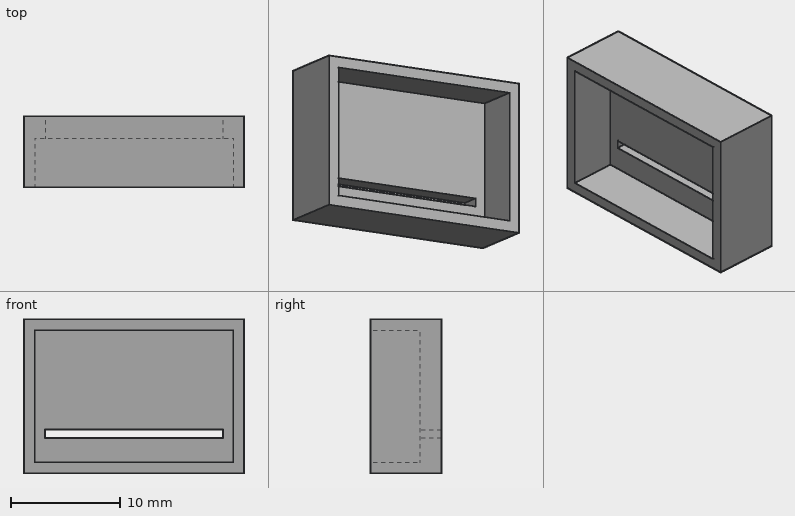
import cadquery as cq

width = 20.15
depth = 6.5
height = 14.1

rim = 1.0
back_thickness = 2.0
pocket_depth = depth - back_thickness

slot_width = 16.25
slot_height = 0.77
slot_bottom = 3.25


def box_from_front(size_x, size_y, size_z, bottom):
    """Box centred on X, starting at the -Y face, with its underside at the given Z."""
    return (
        cq.Workplane("XY")
        .box(size_x, size_y, size_z, centered=(True, False, False))
        .translate((0, 0, bottom))
    )


block = box_from_front(width, depth, height, 0)
pocket = box_from_front(width - 2 * rim, pocket_depth, height - 2 * rim, rim)
slot = box_from_front(slot_width, depth, slot_height, slot_bottom)

result = block.cut(pocket).cut(slot)